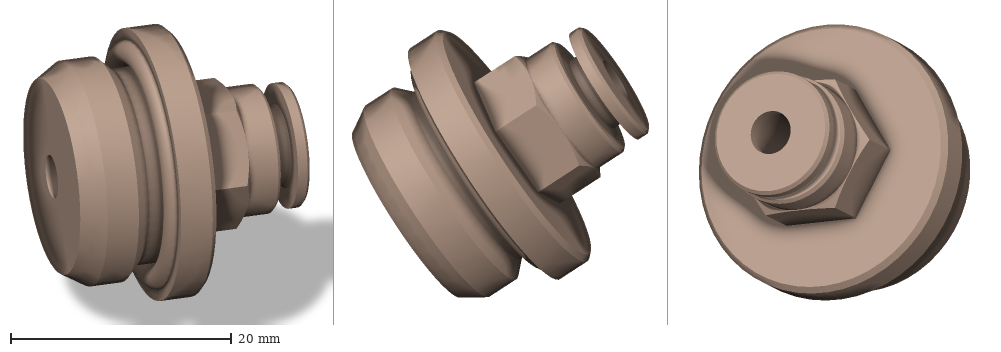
import cadquery as cq
import math

plug_chamfer_end = 2.2
plug_land_end = 5.15
groove_start = 6.5
seal_front = 7.55
flange_front = 8.5
flange_back = 12.0
hex_back = 17.0
collar_back = 20.0
cap_front = 21.6
total_length = 22.8

bore_diameter = 4.0
nose_diameter = 18.0
groove_diameter = 18.0
plug_diameter = 20.7
seal_diameter = 23.0
flange_diameter = 25.0
collar_diameter = 11.9
neck_diameter = 7.3
cap_diameter = 11.5

hex_across_flats = 12.0
hex_bevel_angle = 30.0
flange_chamfer = 0.5
collar_chamfer = 0.3
cap_chamfer = 0.3
seal_thickness = 2.5
collar_cone_diameter = 8.9
collar_cone_length = 0.2
neck_flare = 0.2


def cylinder(diameter, start, end):
    """Solid cylinder along +Y between two stations."""
    return (
        cq.Workplane("XZ", origin=(0, start, 0))
        .circle(diameter / 2)
        .extrude(start - end)
    )


def revolve_profile(points):
    """Solid of revolution about Y from (radius, station) points."""
    return cq.Workplane("XY").polyline(points).close().revolve(360, (0, 0), (0, 1))


def make_plug():
    """Plug with a tapered nose and a conical run into the seal groove."""
    return revolve_profile([
        (0, 0),
        (nose_diameter / 2, 0),
        (plug_diameter / 2, plug_chamfer_end),
        (plug_diameter / 2, plug_land_end),
        (groove_diameter / 2, groove_start),
        (groove_diameter / 2, flange_front),
        (0, flange_front),
    ])


def make_seal():
    """O-ring seated against the flange, its front part standing proud."""
    ring_radius = (seal_diameter - seal_thickness) / 2
    ring_station = seal_front + seal_thickness / 2
    return (
        cq.Workplane("XY")
        .center(ring_radius, ring_station)
        .circle(seal_thickness / 2)
        .revolve(360, (-ring_radius, 0), (-ring_radius, 1))
    )


def make_flange():
    flange = cylinder(flange_diameter, flange_front, flange_back)
    return flange.faces(">Y").edges().chamfer(flange_chamfer)


def make_hexagon():
    """Spanner hexagon, corners on +X and -X, bevelled at its back end."""
    across_corners = hex_across_flats / math.cos(math.radians(30))
    prism = (
        cq.Workplane("XZ", origin=(0, flange_back, 0))
        .polygon(6, across_corners)
        .extrude(flange_back - hex_back)
    )
    bevel_depth = (across_corners - hex_across_flats) / 2 * math.tan(math.radians(hex_bevel_angle))
    envelope = revolve_profile([
        (0, flange_back),
        (across_corners / 2, flange_back),
        (across_corners / 2, hex_back - bevel_depth),
        (hex_across_flats / 2, hex_back),
        (0, hex_back),
    ])
    return prism.intersect(envelope)


def make_collar():
    collar = cylinder(collar_diameter, hex_back, collar_back)
    return collar.faces(">Y").edges().chamfer(collar_chamfer)


def make_release_ring():
    """Push-in release ring: shallow cone, narrow neck, flared shoulder and chamfered cap."""
    neck_radius = neck_diameter / 2
    cap_radius = cap_diameter / 2
    return revolve_profile([
        (0, collar_back),
        (collar_cone_diameter / 2, collar_back),
        (neck_radius, collar_back + collar_cone_length),
        (neck_radius, cap_front - neck_flare),
        (neck_radius + neck_flare, cap_front),
        (cap_radius, cap_front),
        (cap_radius, total_length - cap_chamfer),
        (cap_radius - cap_chamfer, total_length),
        (0, total_length),
    ])


body = make_plug()
for section in (make_seal(), make_flange(), make_hexagon(), make_collar(), make_release_ring()):
    body = body.union(section)

result = body.cut(cylinder(bore_diameter, 0, total_length))